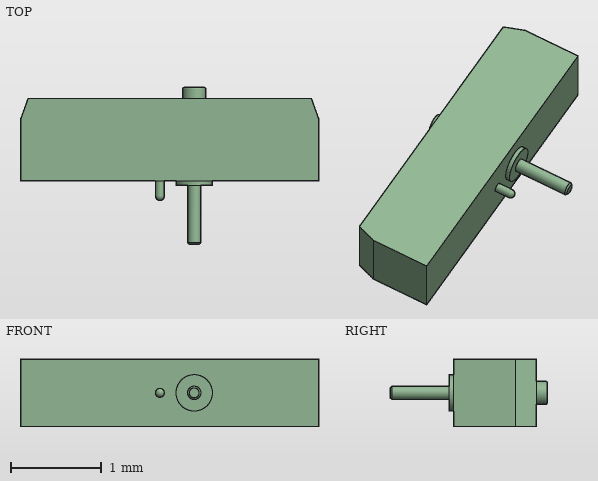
import cadquery as cq

body_length = 3.28
body_depth = 0.91
body_height = 0.74
corner_cut_x = 0.082
corner_cut_y = 0.23

shaft_x = 0.27
shaft_diameter = 0.148
shaft_reach = 0.7
shaft_chamfer = 0.02
collar_diameter = 0.4
collar_thickness = 0.05
boss_diameter = 0.255
boss_height = 0.12
boss_rounding = 0.02

pin_x = -0.108
pin_diameter = 0.1
pin_reach = 0.215


def make_body():
    """Block with both rear corners cut at a slant."""
    half_length = body_length / 2
    outline = [
        (-half_length, 0),
        (half_length, 0),
        (half_length, body_depth - corner_cut_y),
        (half_length - corner_cut_x, body_depth),
        (-half_length + corner_cut_x, body_depth),
        (-half_length, body_depth - corner_cut_y),
    ]
    return cq.Workplane("XY").polyline(outline).close().extrude(body_height / 2, both=True)


def front_cylinder(x, diameter, reach):
    """Cylinder standing out from the front face toward -Y."""
    return cq.Workplane("XZ").center(x, 0).circle(diameter / 2).extrude(reach)


def make_boss():
    """Rear boss with a rounded end edge."""
    face = cq.Workplane("XZ", origin=(shaft_x, body_depth, 0))
    boss = face.circle(boss_diameter / 2).extrude(-boss_height)
    return boss.faces(">Y").fillet(boss_rounding)


def make_pin():
    """Locating pin ending in a hemisphere."""
    radius = pin_diameter / 2
    straight_length = pin_reach - radius
    tip = cq.Workplane("XY", origin=(pin_x, -straight_length, 0)).sphere(radius)
    return front_cylinder(pin_x, pin_diameter, straight_length).union(tip)


collar = front_cylinder(shaft_x, collar_diameter, collar_thickness)
shaft = front_cylinder(shaft_x, shaft_diameter, shaft_reach).faces("<Y").chamfer(shaft_chamfer)
pin = make_pin()

result = make_body().union(collar).union(shaft).union(pin).union(make_boss())